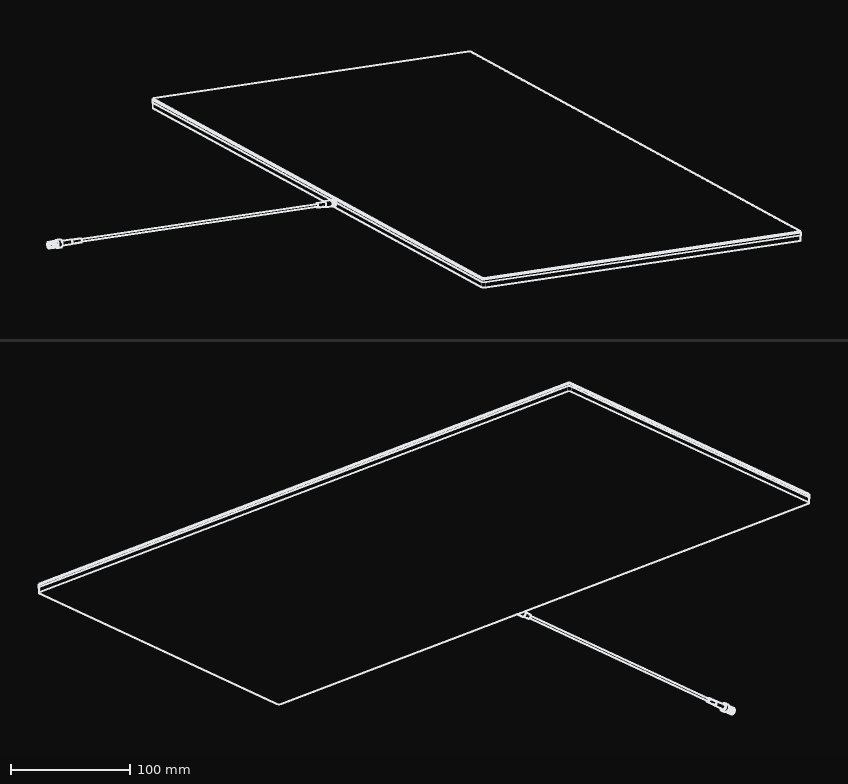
import cadquery as cq

panel_length = 600.0
panel_width = 301.0
panel_height = 8.5
tray_top = 5.0
frame_top = 7.0
cover_inset = 0.5
tray_corner_radius = 2.5
frame_corner_radius = 1.0

lead_x = 32.5
lead_z = panel_height / 2
socket_depth = 3.0
cable_diameter = 2.5

boot_diameter = 5.5
boot_waist_diameter = 4.0
boot_flange_end = 2.0
boot_body_start = 3.5
boot_body_end = 9.5
boot_tail_end = 17.0

sleeve_diameter = 3.9
sleeve_start = 240.0
sleeve_end = 249.0
plug_diameter = 4.0
plug_end = 259.0
connector_flange_diameter = 7.0
connector_flange_length = 3.5
connector_diameter = 6.0
connector_end = 270.5
connector_bore_diameter = 2.5
connector_bore_depth = 7.0

groove_count = 2
groove_width = 2.0
groove_pitch = 3.5
groove_depth = 0.3

front_y = -panel_width / 2
connector_flange_end = plug_end + connector_flange_length


def panel_layer(bottom, top, inset, corner_radius):
    """Round-cornered layer of the panel, set back from the panel outline by inset."""
    slab = (
        cq.Workplane("XY", origin=(0, 0, bottom))
        .rect(panel_length - 2 * inset, panel_width - 2 * inset)
        .extrude(top - bottom)
    )
    return slab.edges("|Z").fillet(corner_radius)


def lead_rod(start, end, diameter):
    """Cylinder on the lead axis between two distances from the panel's front side."""
    plane = cq.Workplane("XZ", origin=(lead_x, front_y - start, lead_z))
    return plane.circle(diameter / 2).extrude(end - start)


def make_boot():
    boot = lead_rod(-socket_depth, boot_tail_end, boot_waist_diameter)
    boot = boot.union(lead_rod(0, boot_flange_end, boot_diameter))
    boot = boot.union(lead_rod(boot_body_start, boot_body_end, boot_diameter))
    return boot.cut(cable)


def make_connector():
    connector = lead_rod(plug_end, connector_flange_end, connector_flange_diameter)
    connector = connector.union(lead_rod(connector_flange_end, connector_end, connector_diameter))
    for i in range(groove_count):
        start = connector_flange_end + groove_width + i * groove_pitch
        end = start + groove_width
        ring = lead_rod(start, end, connector_diameter)
        core = lead_rod(start, end, connector_diameter - 2 * groove_depth)
        connector = connector.cut(ring.cut(core))
    bore = lead_rod(connector_end - connector_bore_depth, connector_end, connector_bore_diameter)
    return connector.cut(bore)


boot_socket = lead_rod(-socket_depth, 0, boot_waist_diameter)
tray = panel_layer(0, tray_top, 0, tray_corner_radius).cut(boot_socket)
frame = panel_layer(tray_top, frame_top, 0, frame_corner_radius).cut(boot_socket)
cover = panel_layer(frame_top, panel_height, cover_inset, frame_corner_radius)

cable = lead_rod(-socket_depth, sleeve_end, cable_diameter)
boot = make_boot()
sleeve = lead_rod(sleeve_start, sleeve_end, sleeve_diameter).cut(cable)
plug = lead_rod(sleeve_end, plug_end, plug_diameter)
connector = make_connector()

result = cq.Compound.makeCompound(
    [
        tray.val(),
        frame.val(),
        cover.val(),
        cable.val(),
        boot.val(),
        sleeve.val(),
        plug.val(),
        connector.val(),
    ]
)